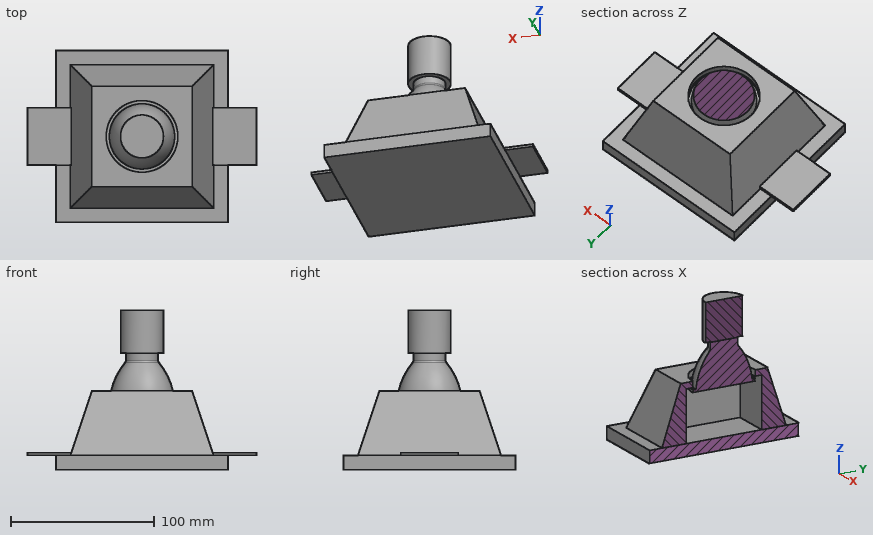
import cadquery as cq

base_side = 120.0
base_thickness = 10.0

housing_bottom_side = 100.0
housing_top_side = 70.0
housing_height = 45.0
housing_top = base_thickness + housing_height

tab_span = 160.0
tab_width = 40.0
tab_thickness = 2.0

roof_thickness = 5.0
roof_underside = housing_top - roof_thickness
cavity_side = 60.0
opening_radius = 25.0

lamp_top = 81.4
lamp_height = 35.0
lamp_bottom = lamp_top - lamp_height
rim_gap = 1.4
rim_top = roof_underside - rim_gap
rim_radius = 25.0
reflector_radius = 22.8
reflector_middle_radius = 17.2
reflector_middle_height = 18.2
throat_radius = 11.25
throat_height = 26.9
throat_level = rim_top + throat_height
throat_fillet = 2.5

socket_radius = 15.0
socket_height = 30.0


def frustum():
    """Solid square frustum standing on the base plate."""
    return (
        cq.Workplane("XY")
        .workplane(offset=base_thickness)
        .rect(housing_bottom_side, housing_bottom_side)
        .workplane(offset=housing_height)
        .rect(housing_top_side, housing_top_side)
        .loft(ruled=True)
    )


def make_base():
    return cq.Workplane("XY").box(base_side, base_side, base_thickness, centered=(True, True, False))


def make_housing():
    """Tapered housing, hollow below a flat roof with a round opening for the lamp."""
    cavity = (
        cq.Workplane("XY")
        .box(cavity_side, cavity_side, roof_underside - base_thickness, centered=(True, True, False))
        .translate((0, 0, base_thickness))
    )
    opening = (
        cq.Workplane("XY")
        .workplane(offset=roof_underside)
        .circle(opening_radius)
        .extrude(roof_thickness)
    )
    return frustum().cut(cavity).cut(opening)


def make_tab(side):
    """Flat tab on the base plate, its inner end fitted to the sloping housing wall."""
    length = tab_span / 2
    blank = (
        cq.Workplane("XY")
        .box(length, tab_width, tab_thickness, centered=(True, True, False))
        .translate((side * length / 2, 0, base_thickness))
    )
    return blank.cut(frustum())


def make_lamp():
    """Rim, bell-shaped reflector and neck as one turned solid, with a fillet at the throat."""
    profile = (
        cq.Workplane("XZ")
        .moveTo(0, lamp_bottom)
        .lineTo(rim_radius, lamp_bottom)
        .lineTo(rim_radius, rim_top)
        .lineTo(reflector_radius, rim_top)
        .threePointArc(
            (reflector_middle_radius, rim_top + reflector_middle_height),
            (throat_radius, throat_level),
        )
        .lineTo(throat_radius, lamp_top)
        .lineTo(0, lamp_top)
        .close()
    )
    lamp = profile.revolve(360, (0, 0, 0), (0, 1, 0))
    throat = cq.selectors.BoxSelector(
        (-rim_radius, -rim_radius, throat_level - throat_fillet),
        (rim_radius, rim_radius, throat_level + throat_fillet),
    )
    return lamp.edges("%CIRCLE").edges(throat).fillet(throat_fillet)


def make_socket():
    return cq.Workplane("XY").workplane(offset=lamp_top).circle(socket_radius).extrude(socket_height)


base = make_base()
housing = make_housing()
tabs = [make_tab(side) for side in (-1, 1)]
lamp = make_lamp()
socket = make_socket()

bodies = [base, housing, *tabs, lamp, socket]
result = cq.Compound.makeCompound([body.solids().val() for body in bodies])